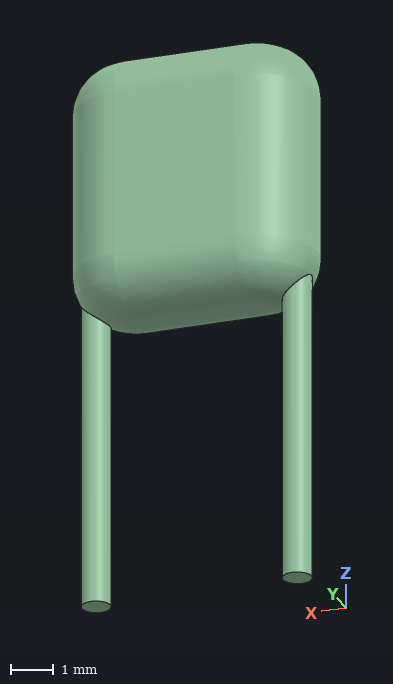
import cadquery as cq

total_height = 13.5
body_width = 6.0
body_thickness = 3.0
body_height = 6.5

rim_radius = 1.2

lead_diameter = 0.7
lead_pitch = 5.0
lead_length_below_body = total_height - body_height


def make_body():
    """Upright slab with fully rounded ends and rounded rims, resting on Z = 0."""
    slab = cq.Workplane("XY").slot2D(body_width, body_thickness).extrude(body_height)
    return slab.faces("<Z or >Z").edges().fillet(rim_radius)


def make_lead(x):
    """Round wire whose upper end is buried in the body."""
    end_inside_body = body_height / 2
    return (
        cq.Workplane("XY", origin=(x, 0, -lead_length_below_body))
        .circle(lead_diameter / 2)
        .extrude(lead_length_below_body + end_inside_body)
    )


result = make_body()
for side in (-1, 1):
    result = result.union(make_lead(side * lead_pitch / 2))